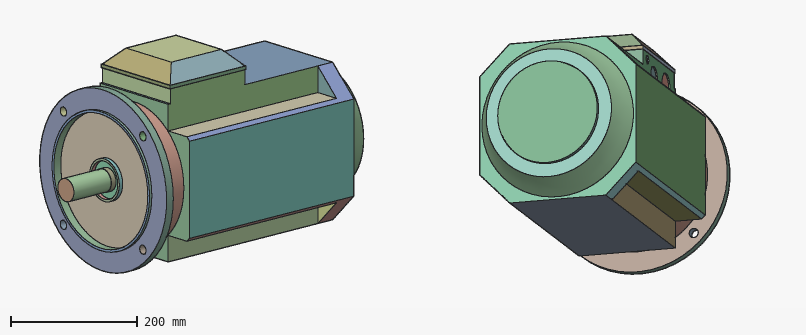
import cadquery as cq


overall_length = 550.0
shaft_length = 80.0
flange_thickness = 14.5
neck_length = 52.0
body_length = 352.0
end_plate_thickness = 7.0
body_front = flange_thickness + neck_length
body_rear = body_front + body_length
end_plate_rear = overall_length - shaft_length
cowl_rear = end_plate_rear - end_plate_thickness

flange_diameter = 300.0
neck_diameter = 234.5
spigot_diameter = 230.0
spigot_height = 5.0
face_recess_diameter = 221.5
face_recess_depth = 15.0
bolt_circle_diameter = 265.0
bolt_hole_diameter = 15.0
bolt_count = 4

shaft_diameter = 38.0
collar_diameter = 39.0
seal_outer_diameter = 70.5
seal_inner_diameter = 62.5
seal_height = 7.0

body_half_width = 130.5
flat_half_width = 80.5
step_length = 320.0
step_height = 86.5

cowl_front_radius = 126.5
cowl_middle_radius = 114.5
cowl_rear_radius = 104.5
end_plate_diameter = 166.0

box_length = 159.0
box_setback = 5.0
lid_length = 163.5
lid_width = 161.5
lid_base_height = 155.0
lid_rim_height = 161.0
lid_top_height = 188.0
lid_top_size = 107.0
box_width = 2 * flat_half_width
box_centre = body_front + box_setback + box_length / 2

entry_depth = 2.0
cable_entries = [
    (47.0, 124.0, 40.5),
    (107.0, 124.0, 33.0),
    (141.0, 143.5, 13.0),
]


def disc(diameter, y_start, y_end):
    """Cylinder on the shaft axis between two axial positions."""
    plane = cq.Workplane("XZ", origin=(0, y_start, 0))
    return plane.circle(diameter / 2).extrude(y_start - y_end)


def block(width, length, y_centre, z_bottom, z_top):
    """Box centred on X = 0."""
    return (
        cq.Workplane("XY", origin=(0, y_centre, z_bottom))
        .rect(width, length)
        .extrude(z_top - z_bottom)
    )


def make_body():
    body_size = 2 * body_half_width
    body = (
        cq.Workplane("XZ", origin=(0, body_front, 0))
        .rect(body_size, body_size)
        .extrude(-body_length)
        .edges("|Y")
        .chamfer(body_half_width - flat_half_width)
    )
    cutter_size = body_half_width
    for x_side in (-1, 1):
        for z_side in (-1, 1):
            step = (
                cq.Workplane("XZ", origin=(0, body_front, 0))
                .center(
                    x_side * (flat_half_width + cutter_size / 2),
                    z_side * (step_height + cutter_size / 2),
                )
                .rect(cutter_size, cutter_size)
                .extrude(-step_length)
            )
            body = body.cut(step)
    return body


def make_cowl():
    cowl_middle = (body_rear + cowl_rear) / 2
    cowl = (
        cq.Workplane("XY")
        .moveTo(0, body_rear)
        .lineTo(cowl_front_radius, body_rear)
        .threePointArc((cowl_middle_radius, cowl_middle), (cowl_rear_radius, cowl_rear))
        .lineTo(0, cowl_rear)
        .close()
        .revolve(360, (0, 0, 0), (0, 1, 0))
    )
    return cowl.union(disc(end_plate_diameter, cowl_rear, end_plate_rear))


def make_terminal_box():
    box = block(box_width, box_length, box_centre, 0, lid_base_height)
    rim = block(lid_width, lid_length, box_centre, lid_base_height, lid_rim_height)
    roof = (
        cq.Workplane("XY", origin=(0, box_centre, lid_rim_height))
        .rect(box_width, box_width)
        .workplane(offset=lid_top_height - lid_rim_height)
        .rect(lid_top_size, lid_top_size)
        .loft(ruled=True)
    )
    return box.union(rim).union(roof)


def make_flange():
    neck = disc(neck_diameter, flange_thickness, body_front)
    flange = disc(flange_diameter, 0, flange_thickness)
    spigot = disc(spigot_diameter, -spigot_height, 0)
    return neck.union(flange).union(spigot)


def make_bolt_holes():
    first_angle = 360 / bolt_count / 2
    return (
        cq.Workplane("XZ")
        .polarArray(bolt_circle_diameter / 2, first_angle, 360, bolt_count)
        .circle(bolt_hole_diameter / 2)
        .extrude(-flange_thickness)
    )


def make_entry_mark(distance, height, diameter):
    mark_plane = cq.Workplane("YZ", origin=(-flat_half_width, body_front + distance, height))
    return mark_plane.circle(diameter / 2).extrude(entry_depth)


motor = make_body().union(make_cowl()).union(make_terminal_box()).union(make_flange())
motor = motor.cut(make_bolt_holes())
for distance, height, diameter in cable_entries:
    motor = motor.cut(make_entry_mark(distance, height, diameter))

recess_floor = face_recess_depth - spigot_height
seal_front = recess_floor - seal_height
seal_ring = disc(seal_outer_diameter, seal_front, recess_floor)
seal_ring = seal_ring.cut(disc(seal_inner_diameter, seal_front, recess_floor))
motor = motor.cut(disc(face_recess_diameter, -spigot_height, recess_floor))
motor = motor.union(seal_ring)

motor = motor.union(disc(collar_diameter, 0, body_front))
result = motor.union(disc(shaft_diameter, -shaft_length, body_front))